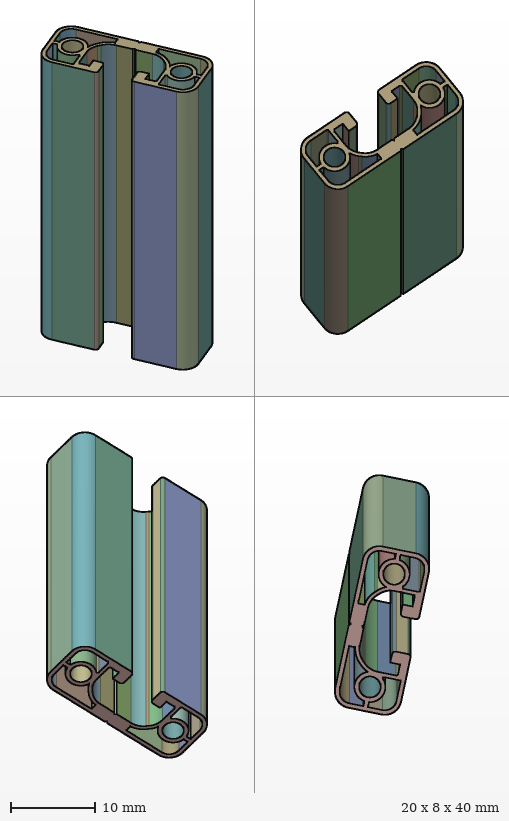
import cadquery as cq
import math

width = 20.0
depth = 8.0
length = 40.0
corner_radius = 2.0
wall = 0.55

channel_x = 7.0
channel_hole_radius = 1.3
channel_outer_radius = 1.85
web_thickness = 0.55

slot_half_width = 5.0
slot_roof_y = 2.2
slot_floor_y = -2.95
slot_roof_radius = 2.4
slot_roof_flat = 0.4
slot_floor_radius = 0.25
slot_wall = 0.5
mouth_half_width = 2.15
lip_inner_x = 3.6
lip_top_y = -1.75
lip_radius = 0.4

chamber_inner_x = 2.65
chamber_corner_radius = 0.15
groove_half_width = 0.2
groove_depth = 0.2

half_depth = depth / 2
cavity_outer_x = width / 2 - wall
cavity_half_depth = half_depth - wall
surround_half_width = slot_half_width + slot_wall


def block(x_min, x_max, y_min, y_max):
    """Full-length block spanning the given X and Y limits."""
    return cq.Workplane("XY").box(
        x_max - x_min, y_max - y_min, length, centered=False
    ).translate((x_min, y_min, 0))


def cylinder(x, radius):
    """Full-length cylinder centred on the mid-plane."""
    return cq.Workplane("XY").center(x, 0).circle(radius).extrude(length)


def round_corner(body, x, y, radius):
    """Round the lengthwise edge nearest to the given X and Y."""
    edge = cq.NearestToPointSelector((x, y, length / 2))
    return body.edges("|Z").edges(edge).fillet(radius)


def arched_block(half_width, bottom_y, top_y, radius):
    """Full-length block whose two +Y corners are a 45-degree flat between two arcs."""
    arc_tangent = radius * math.tan(math.radians(22.5))
    setback = (slot_roof_flat + 2 * arc_tangent) / math.sqrt(2)
    arch = block(-half_width, half_width, bottom_y, top_y).edges("|Z and >Y").chamfer(setback)
    return arch.edges("|Z").edges("not <Y").fillet(radius)


def right_chambers():
    """Hollow space around the +X screw channel, split in two by the web."""
    space = block(chamber_inner_x, cavity_outer_x, -cavity_half_depth, cavity_half_depth)
    space = space.edges("|Z and >X").fillet(corner_radius - wall)
    surround = arched_block(
        surround_half_width, -half_depth, slot_roof_y + slot_wall, slot_roof_radius + slot_wall
    )
    web = block(channel_x, width / 2, -web_thickness / 2, web_thickness / 2)
    space = space.cut(surround).cut(cylinder(channel_x, channel_outer_radius)).cut(web)

    meeting_y = -math.sqrt(channel_outer_radius**2 - (channel_x - surround_half_width) ** 2)
    for corner_y in (-cavity_half_depth, meeting_y):
        space = round_corner(space, surround_half_width, corner_y, chamber_corner_radius)
    return space


def slot():
    """Slot interior, without its mouth."""
    interior = arched_block(slot_half_width, slot_floor_y, slot_roof_y, slot_roof_radius)
    return interior.edges("|Z and <Y").fillet(slot_floor_radius)


def right_lip():
    """Upturned lip beside the slot mouth on the +X side."""
    lip = block(mouth_half_width, lip_inner_x, -half_depth, lip_top_y)
    return lip.edges("|Z and <X").fillet(lip_radius)


def groove(face_y, direction):
    """V-groove on the centre line, cut into a face along the given Y direction."""
    return (
        cq.Workplane("XY")
        .moveTo(-groove_half_width, face_y)
        .lineTo(groove_half_width, face_y)
        .lineTo(0, face_y + direction * groove_depth)
        .close()
        .extrude(length)
    )


body = block(-width / 2, width / 2, -half_depth, half_depth)
body = body.edges("|Z").fillet(corner_radius)
body = body.cut(slot())

body = body.cut(block(-lip_inner_x, lip_inner_x, -half_depth, lip_top_y))
chambers = right_chambers()
lip = right_lip()
for lip_side in (lip, lip.mirror("YZ")):
    body = body.union(lip_side)
for chamber_side in (chambers, chambers.mirror("YZ")):
    body = body.cut(chamber_side)
for hole_x in (-channel_x, channel_x):
    body = body.cut(cylinder(hole_x, channel_hole_radius))

body = body.cut(groove(half_depth, -1))
body = body.cut(groove(slot_roof_y, 1))

result = body